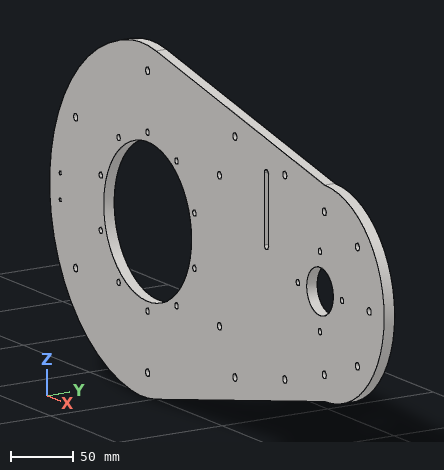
import cadquery as cq

length = 504.5
thickness = 10.0
large_end_radius = 147.5
small_end_radius = 90.0
shoulder_radius = 100.0
large_end_x = -length / 2 + large_end_radius
small_end_x = length / 2 - small_end_radius

large_bore_x = -104.5
large_bore_diameter = 132.0
inner_ring_radius = 74.0
inner_ring_count = 10
outer_ring_radius = 125.0
outer_ring_count = 6
ring_start_angle = 90

small_bore_x = 155.5
small_bore_diameter = 40.0
small_ring_radius = 33.5
small_ring_count = 4

rim_hole_diameter = 6.0
bolt_hole_diameter = 5.0
pin_hole_diameter = 3.0

rim_hole_pairs = [(27.0, 100.0), (102.5, 85.0), (162.0, 67.5), (212.0, 49.5)]
end_rim_hole_x = 229.5

pin_hole_x = -236.0
pin_hole_z = 11.0

slot_x = 74.5
slot_z = 50.0
slot_length = 66.0
slot_width = 6.0


def back_face_plane():
    """Sketch plane on the +Y face, facing -Y, so the plate is centered on Y = 0."""
    return cq.Workplane("XZ").workplane(offset=-thickness / 2)


def make_blank():
    """Plate outline: two end arcs joined by flanks running from top to top."""
    profile = (
        back_face_plane()
        .moveTo(large_end_x, large_end_radius)
        .lineTo(small_end_x, small_end_radius)
        .threePointArc((length / 2, 0), (small_end_x, -small_end_radius))
        .lineTo(large_end_x, -large_end_radius)
        .threePointArc((-length / 2, 0), (large_end_x, large_end_radius))
        .close()
    )
    blank = profile.extrude(thickness)
    corner_margin = 5.0
    middle_x = (large_end_x + small_end_x) / 2
    shoulders = cq.selectors.BoxSelector(
        (large_end_x - corner_margin, -thickness, -length), (middle_x, thickness, length)
    )
    return blank.edges("|Y").edges(shoulders).fillet(shoulder_radius)


def drill(plate, points, diameter):
    """Cut round through holes at (x, z) points."""
    cutters = (
        back_face_plane().pushPoints(points).circle(diameter / 2).extrude(thickness)
    )
    return plate.cut(cutters)


def drill_ring(plate, center_x, radius, count, diameter):
    """Cut an evenly spaced ring of round through holes."""
    cutters = (
        back_face_plane()
        .center(center_x, 0)
        .polarArray(radius, ring_start_angle, 360, count)
        .circle(diameter / 2)
        .extrude(thickness)
    )
    return plate.cut(cutters)


def cut_slot(plate):
    """Cut the upright round-ended slot."""
    cutter = (
        back_face_plane()
        .center(slot_x, slot_z)
        .slot2D(slot_length, slot_width, 90)
        .extrude(thickness)
    )
    return plate.cut(cutter)


result = make_blank()
result = drill(result, [(large_bore_x, 0)], large_bore_diameter)
result = drill_ring(result, large_bore_x, inner_ring_radius, inner_ring_count, bolt_hole_diameter)
result = drill_ring(result, large_bore_x, outer_ring_radius, outer_ring_count, rim_hole_diameter)
result = drill(result, [(small_bore_x, 0)], small_bore_diameter)
result = drill_ring(result, small_bore_x, small_ring_radius, small_ring_count, bolt_hole_diameter)

lower_rim_holes = [(x, -z) for x, z in rim_hole_pairs]
rim_holes = rim_hole_pairs + lower_rim_holes + [(end_rim_hole_x, 0)]
result = drill(result, rim_holes, rim_hole_diameter)
result = drill(result, [(pin_hole_x, pin_hole_z), (pin_hole_x, -pin_hole_z)], pin_hole_diameter)
result = cut_slot(result)